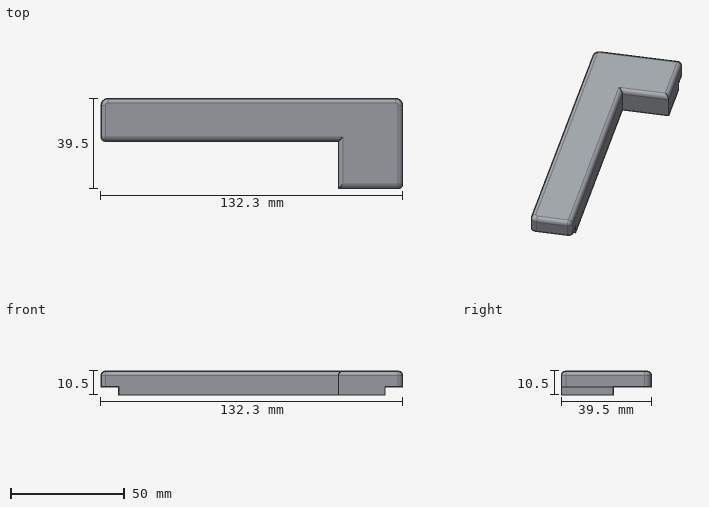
import cadquery as cq

length = 132.3
depth = 39.5
height = 10.5

arm_width = 18.8
leg_width = 28.2

step_height = 3.6
end_overhang = 7.7
back_overhang = 16.7

front_corner_radius = 2.0
back_corner_radius = 3.0
top_edge_radius = 2.0

arm_front = depth - arm_width
leg_left = length - leg_width


def l_shaped_body():
    """Full-height L-shaped block with its back-left corner at (0, depth)."""
    outline = [
        (0, arm_front),
        (leg_left, arm_front),
        (leg_left, 0),
        (length, 0),
        (length, depth),
        (0, depth),
    ]
    return cq.Workplane("XY").polyline(outline).close().extrude(height)


def cut_box(x_start, x_size, y_start, y_size):
    """Box, one step high, that is removed from the underside."""
    return (
        cq.Workplane("XY")
        .box(x_size, y_size, step_height, centered=False)
        .translate((x_start, y_start, 0))
    )


def round_edges(body):
    """Round the end corners, then the whole top rim; the leg's left corner stays sharp."""
    front_corners = cq.selectors.NearestToPointSelector((0, arm_front, height / 2))
    leg_corner = cq.selectors.NearestToPointSelector((length, 0, height / 2))
    body = body.edges("|Z and >Y").fillet(back_corner_radius)
    body = body.edges(front_corners).fillet(front_corner_radius)
    body = body.edges(leg_corner).fillet(front_corner_radius)
    return body.faces(">Z").edges().fillet(top_edge_radius)


def step_underside(body):
    """Raise the underside along both ends and along the back."""
    body = body.cut(cut_box(0, end_overhang, 0, depth))
    body = body.cut(cut_box(length - end_overhang, end_overhang, 0, depth))
    return body.cut(cut_box(0, length, depth - back_overhang, back_overhang))


result = step_underside(round_edges(l_shaped_body()))
result = result.translate((-length / 2, -depth / 2, 0))